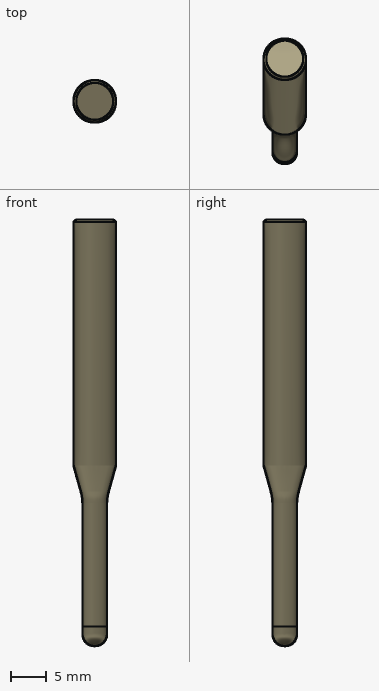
import cadquery as cq
import math

overall_length = 60.0
shank_diameter = 6.0
ball_diameter = 3.5
tip_length = 2.8
neck_end_height = 20.1
shank_start_height = 25.4
blend_radius = 6.0
end_chamfer = 0.4

shank_radius = shank_diameter / 2
ball_radius = ball_diameter / 2

blend_centre_radius = ball_radius + blend_radius
centre_offset = blend_centre_radius - shank_radius
taper_height = shank_start_height - neck_end_height
centre_distance = math.hypot(centre_offset, taper_height)
taper_angle = math.asin(blend_radius / centre_distance) - math.atan2(centre_offset, taper_height)


def blend_point(angle):
    """Radius and height on the concave arc, at an angle swept up from the neck."""
    radius = blend_centre_radius - blend_radius * math.cos(angle)
    height = neck_end_height + blend_radius * math.sin(angle)
    return radius, height


def make_tip():
    """Hemispherical cutting tip with a short cylinder above it."""
    ball_mid = ball_radius * math.sqrt(0.5)
    return (
        cq.Workplane("XZ")
        .moveTo(0, 0)
        .threePointArc((ball_mid, ball_radius - ball_mid), (ball_radius, ball_radius))
        .lineTo(ball_radius, tip_length)
        .lineTo(0, tip_length)
        .close()
        .revolve(360, (0, 0), (0, 1))
    )


def make_shank():
    """Neck, tangent blend, taper and chamfered shank, seated on the flat top of the tip."""
    return (
        cq.Workplane("XZ")
        .moveTo(0, tip_length)
        .lineTo(ball_radius, tip_length)
        .lineTo(ball_radius, neck_end_height)
        .threePointArc(blend_point(taper_angle / 2), blend_point(taper_angle))
        .lineTo(shank_radius, shank_start_height)
        .lineTo(shank_radius, overall_length - end_chamfer)
        .lineTo(shank_radius - end_chamfer, overall_length)
        .lineTo(0, overall_length)
        .close()
        .revolve(360, (0, 0), (0, 1))
    )


tip = make_tip()
shank = make_shank()

result = cq.Compound.makeCompound([tip.val(), shank.val()])